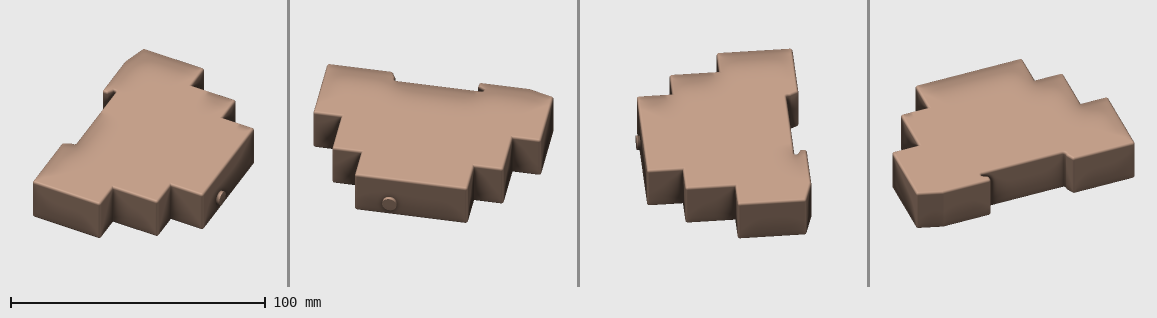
import cadquery as cq
import math

body_height = 91.0
body_depth = 63.5
body_thickness = 18.5
edge_radius = 1.0

base_depth = 29.9
shoulder_depth = 49.5
shoulder_inset = 11.3
nose_inset = 22.9

slope_depth = 3.0
slope_height = 10.1

slot_depth = 5.0
hook_tip_y = 60.7
hook_tip_width = 2.55
hook_angle = math.radians(60)
slot_top_y = 63.15
slot_top_radius = 0.7
slot_bottom_y = 27.8
slot_bottom_radius = 0.9
ramp_depth = 3.2
ramp_drop = 1.6
ramp_foot_y = slot_bottom_y - ramp_drop

button_diameter = 5.7
button_length = 1.5
button_y = 37.0
button_z = -2.9


def housing_outline():
    """Closed stepped outline with the rail slot, running clockwise from the lower back corner."""
    hook_root_x = hook_tip_width + (slot_top_y - hook_tip_y) / math.tan(hook_angle)
    top_arc_x = slot_depth - slot_top_radius
    bottom_arc_x = slot_depth - slot_bottom_radius
    arc_sine = math.sin(math.radians(45))
    return (
        cq.Workplane("XY")
        .workplane(offset=-body_thickness / 2)
        .moveTo(0, 0)
        .lineTo(0, ramp_foot_y)
        .lineTo(ramp_depth, slot_bottom_y)
        .lineTo(bottom_arc_x, slot_bottom_y)
        .threePointArc(
            (
                bottom_arc_x + slot_bottom_radius * arc_sine,
                slot_bottom_y + slot_bottom_radius * (1 - arc_sine),
            ),
            (slot_depth, slot_bottom_y + slot_bottom_radius),
        )
        .lineTo(slot_depth, slot_top_y - slot_top_radius)
        .threePointArc(
            (
                top_arc_x + slot_top_radius * arc_sine,
                slot_top_y - slot_top_radius * (1 - arc_sine),
            ),
            (top_arc_x, slot_top_y),
        )
        .lineTo(hook_root_x, slot_top_y)
        .lineTo(hook_tip_width, hook_tip_y)
        .lineTo(0, hook_tip_y)
        .lineTo(0, body_height - slope_height)
        .lineTo(slope_depth, body_height)
        .lineTo(base_depth, body_height)
        .lineTo(base_depth, body_height - shoulder_inset)
        .lineTo(shoulder_depth, body_height - shoulder_inset)
        .lineTo(shoulder_depth, body_height - nose_inset)
        .lineTo(body_depth, body_height - nose_inset)
        .lineTo(body_depth, nose_inset)
        .lineTo(shoulder_depth, nose_inset)
        .lineTo(shoulder_depth, shoulder_inset)
        .lineTo(base_depth, shoulder_inset)
        .lineTo(base_depth, 0)
        .close()
    )


def round_upright_edge(solid, x, y):
    """Round the edge parallel to Z that stands nearest to (x, y)."""
    nearest = cq.selectors.NearestToPointSelector((x, y, 0))
    return solid.edges("|Z").edges(nearest).fillet(edge_radius)


def make_housing():
    housing = housing_outline().extrude(body_thickness)
    outer_corners = [(0, 0), (0, ramp_foot_y), (0, hook_tip_y), (slope_depth, body_height)]
    tiers = [(base_depth, 0), (shoulder_depth, shoulder_inset), (body_depth, nose_inset)]
    for depth, inset in tiers:
        outer_corners.append((depth, inset))
        outer_corners.append((depth, body_height - inset))
    for x, y in outer_corners:
        housing = round_upright_edge(housing, x, y)
    return housing.faces("<Z or >Z").edges().fillet(edge_radius)


def make_button():
    root = edge_radius
    return (
        cq.Workplane("YZ", origin=(body_depth - root, button_y, button_z))
        .circle(button_diameter / 2)
        .extrude(root + button_length)
    )


result = make_housing().union(make_button())